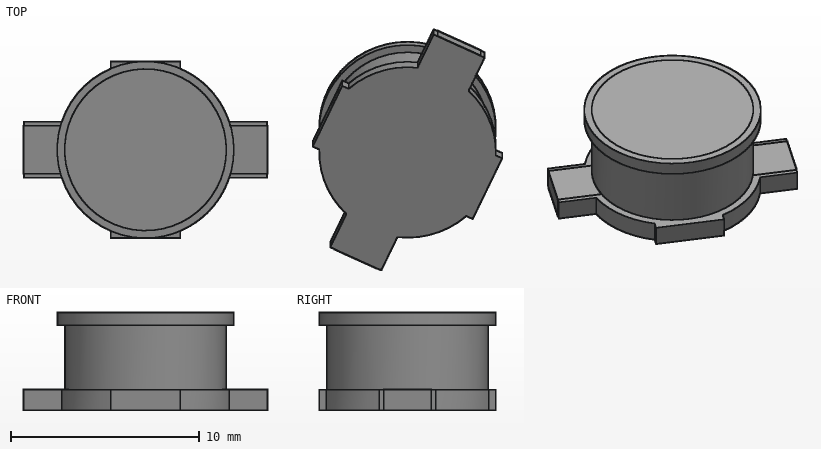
import cadquery as cq

overall_length = 12.99
overall_height = 5.21

core_diameter = 8.6
flange_diameter = 9.4
flange_thickness = 0.7

base_thickness = 1.1
arm_width = 3.0
lug_width = 3.7

terminal_thickness = 0.02
terminal_width = 2.54

base_length = overall_length - 2 * terminal_thickness
core_height = overall_height - base_thickness
flange_bottom = overall_height - flange_thickness


def make_base():
    """Round plate, a bar along X for the arms and a bar along Y for the lugs, all one thickness."""
    plate = cq.Workplane("XY").circle(flange_diameter / 2).extrude(base_thickness)
    arm_bar = cq.Workplane("XY").rect(base_length, arm_width).extrude(base_thickness)
    lug_bar = cq.Workplane("XY").rect(lug_width, flange_diameter).extrude(base_thickness)
    return plate.union(arm_bar, clean=False).union(lug_bar, clean=False)


def make_core():
    """Plain cylinder standing on the base and reaching the top of the part."""
    return cq.Workplane("XY").workplane(offset=base_thickness).circle(core_diameter / 2).extrude(core_height)


def make_flange():
    """Ring around the top of the core, flush with it."""
    return (
        cq.Workplane("XY")
        .workplane(offset=flange_bottom)
        .circle(flange_diameter / 2)
        .circle(core_diameter / 2)
        .extrude(flange_thickness)
    )


def make_terminal(side, base, core):
    """L-shaped strip over the top and end of one arm; side is +1 or -1 along X."""
    block = (
        cq.Workplane("XY")
        .center(side * overall_length / 4, 0)
        .rect(overall_length / 2, terminal_width)
        .extrude(base_thickness + terminal_thickness)
    )
    return block.cut(base).cut(core)


base = make_base()
core = make_core()
flange = make_flange()
terminals = [make_terminal(side, base, core) for side in (-1, 1)]

result = cq.Compound.makeCompound(
    [base.solids().val(), core.val(), flange.val(), *[terminal.solids().val() for terminal in terminals]]
)